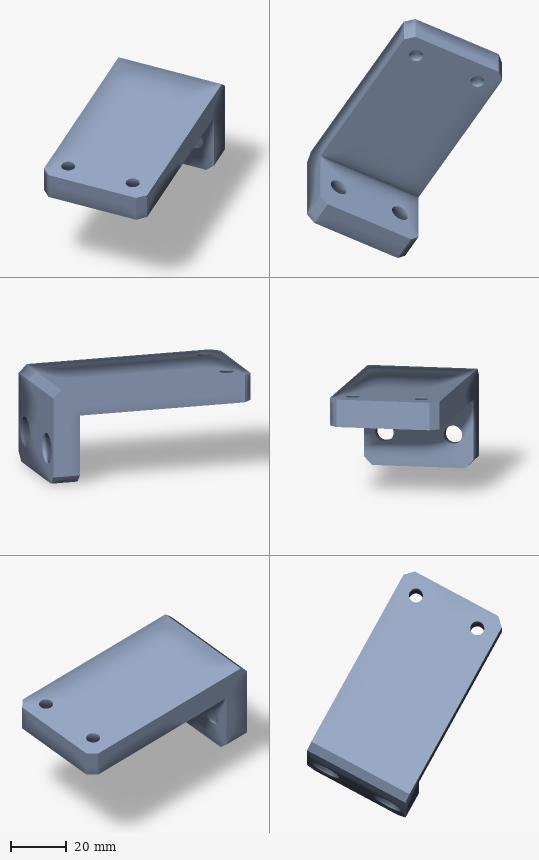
import cadquery as cq

width = 40.0
length = 75.0
height = 35.0
thickness = 10.0
chamfer = 3.0

hole_spacing = 25.0
plate_hole_diameter = 5.0
plate_hole_from_end = 7.5
flange_hole_diameter = 6.6
flange_hole_from_bottom = 12.0
counterbore_diameter = 11.0
counterbore_depth = 6.5
hole_positions = [(-hole_spacing / 2, 0), (hole_spacing / 2, 0)]


def make_plate():
    """Horizontal plate with its free end at -Y."""
    plate = cq.Workplane("XY").box(width, length, thickness, centered=(True, False, False))
    plate = plate.translate((0, 0, height - thickness))
    return plate.edges("|Z and <Y").chamfer(chamfer)


def make_flange():
    """Vertical flange hanging at the +Y end."""
    flange = cq.Workplane("XY").box(width, thickness, height, centered=(True, False, False))
    flange = flange.translate((0, length - thickness, 0))
    return flange.edges("|Y and <Z").chamfer(chamfer)


def make_plate_holes():
    """Plain vertical through holes near the free end."""
    holes = cq.Workplane("XY", origin=(0, plate_hole_from_end, 0)).pushPoints(hole_positions)
    return holes.circle(plate_hole_diameter / 2).extrude(height)


def make_flange_holes():
    """Through holes counterbored from the outer (+Y) face."""
    centers = cq.Workplane("XZ", origin=(0, length, flange_hole_from_bottom)).pushPoints(hole_positions)
    holes = centers.circle(flange_hole_diameter / 2).extrude(thickness)
    counterbores = centers.circle(counterbore_diameter / 2).extrude(counterbore_depth)
    return holes.union(counterbores)


bracket = make_plate().union(make_flange())
bracket = bracket.edges(">Y and >Z").chamfer(chamfer)
result = bracket.cut(make_plate_holes()).cut(make_flange_holes())